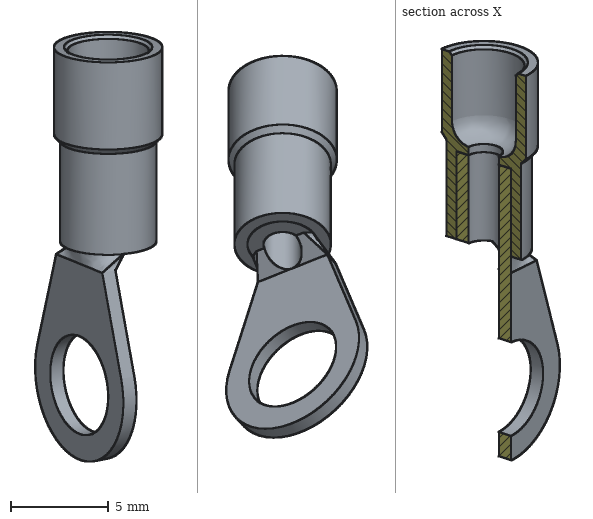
import cadquery as cq
import math

total_height = 21.8

ring_radius = 8.0 / 2
stud_hole_radius = 2.62
tongue_top_z = 10.5
tongue_top_half_width = 2.1

barrel_radius = 1.8
bore_radius = 0.98
barrel_top_z = 16.35
tongue_front_y = -barrel_radius
tongue_back_y = -bore_radius
tongue_thickness = tongue_back_y - tongue_front_y

sleeve_bottom_z = 11.4
sleeve_lower_radius = 2.49
sleeve_upper_radius = 5.58 / 2
shoulder_low_z = 16.8
shoulder_high_z = 17.13
entry_radius = 2.1
rim_chamfer = 0.17

guide_radius = entry_radius - bore_radius
guide_floor_z = shoulder_low_z
guide_rim_z = guide_floor_z + guide_radius

neck_back_y = 0.25
neck_back_half_width = 1.42


def make_tongue():
    """Flat eyelet whose straight edges run tangent into the round end."""
    corner_rise = tongue_top_z - ring_radius
    corner_distance = math.hypot(tongue_top_half_width, corner_rise)
    corner_angle = math.atan2(corner_rise, tongue_top_half_width)
    tangent_angle = corner_angle - math.acos(ring_radius / corner_distance)
    tangent_x = ring_radius * math.cos(tangent_angle)
    tangent_z = ring_radius + ring_radius * math.sin(tangent_angle)
    plate = (
        cq.Workplane("XZ", origin=(0, tongue_back_y, 0))
        .moveTo(-tongue_top_half_width, tongue_top_z)
        .lineTo(tongue_top_half_width, tongue_top_z)
        .lineTo(tangent_x, tangent_z)
        .threePointArc((0, 0), (-tangent_x, tangent_z))
        .close()
        .extrude(tongue_thickness)
    )
    stud_hole = (
        cq.Workplane("XZ", origin=(0, tongue_back_y, 0))
        .center(0, ring_radius)
        .circle(stud_hole_radius)
        .extrude(tongue_thickness)
    )
    return plate.cut(stud_hole)


def make_neck():
    """Ruled transition from the flat tongue to a half-round barrel section."""
    lower_section = (
        cq.Workplane("XY", origin=(0, 0, tongue_top_z))
        .moveTo(-tongue_top_half_width, tongue_back_y)
        .lineTo(-tongue_top_half_width, tongue_front_y)
        .lineTo(tongue_top_half_width, tongue_front_y)
        .lineTo(tongue_top_half_width, tongue_back_y)
        .close()
    )
    upper_section = (
        cq.Workplane("XY", origin=(0, 0, sleeve_bottom_z))
        .moveTo(-neck_back_half_width, neck_back_y)
        .lineTo(-barrel_radius, 0)
        .threePointArc((0, -barrel_radius), (barrel_radius, 0))
        .lineTo(neck_back_half_width, neck_back_y)
        .close()
    )
    sections = [lower_section.val(), upper_section.val()]
    return cq.Workplane(cq.Solid.makeLoft(sections, True))


def make_terminal():
    """Ring tongue, neck and barrel as one piece of metal with an open bore."""
    barrel = (
        cq.Workplane("XY", origin=(0, 0, sleeve_bottom_z))
        .circle(barrel_radius)
        .extrude(barrel_top_z - sleeve_bottom_z)
    )
    bore = (
        cq.Workplane("XY", origin=(0, 0, tongue_top_z))
        .circle(bore_radius)
        .extrude(barrel_top_z - tongue_top_z)
    )
    barrel_and_neck = barrel.union(make_neck()).cut(bore)
    return barrel_and_neck.union(make_tongue())


def make_sleeve():
    """Stepped sleeve around the barrel, with a bowl-shaped wire guide."""
    guide_mid_x = bore_radius + guide_radius * math.sin(math.pi / 4)
    guide_mid_z = guide_rim_z - guide_radius * math.cos(math.pi / 4)
    profile = (
        cq.Workplane("XZ")
        .moveTo(barrel_radius, sleeve_bottom_z)
        .lineTo(sleeve_lower_radius, sleeve_bottom_z)
        .lineTo(sleeve_lower_radius, shoulder_low_z)
        .lineTo(sleeve_upper_radius, shoulder_high_z)
        .lineTo(sleeve_upper_radius, total_height)
        .lineTo(entry_radius + rim_chamfer, total_height)
        .lineTo(entry_radius, total_height - rim_chamfer)
        .lineTo(entry_radius, guide_rim_z)
        .threePointArc((guide_mid_x, guide_mid_z), (bore_radius, guide_floor_z))
        .lineTo(bore_radius, barrel_top_z)
        .lineTo(barrel_radius, barrel_top_z)
        .close()
    )
    return profile.revolve(360, (0, 0, 0), (0, 1, 0))


terminal = make_terminal()
sleeve = make_sleeve()

result = cq.Compound.makeCompound([terminal.val(), sleeve.val()])